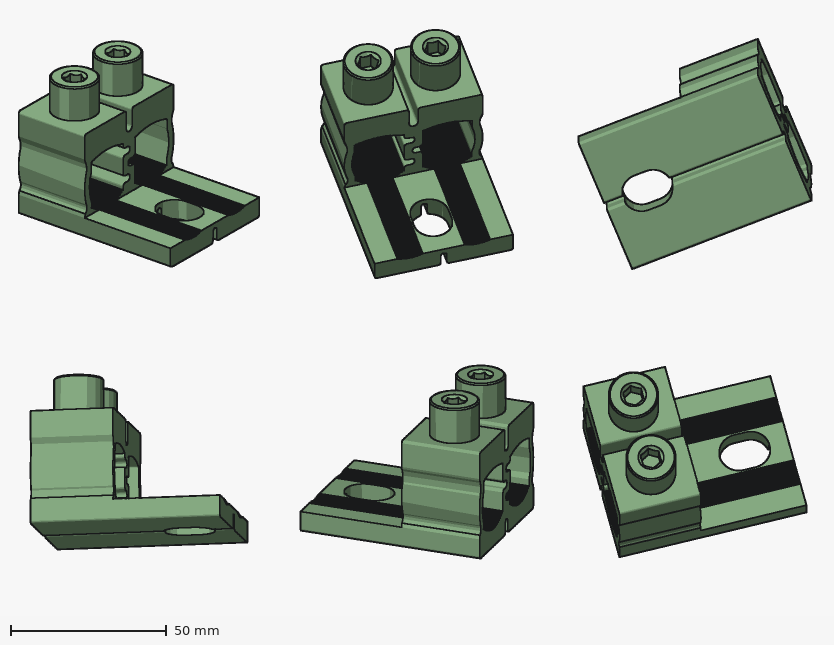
import cadquery as cq
import math

BODY_LENGTH = 62.0
BODY_WIDTH = 46.3
BLOCK_LENGTH = 27.0
BLOCK_HEIGHT = 37.0
PLATE_THICKNESS = 7.0
EDGE_RADIUS = 1.0
HALF_WIDTH = BODY_WIDTH / 2

WAIST_TOP = (0.0, 28.0)
WAIST_TOP_EASE = (0.25, 27.2)
WAIST_UPPER_HOLLOW = (1.0, 24.6)
WAIST_CREST = (0.0, 17.2)
WAIST_LOWER_HOLLOW = (1.17, 10.2)
WAIST_BOTTOM_EASE = (0.4, 8.3)
WAIST_BOTTOM = (0.0, 7.0)

CREST_RADIUS = 20.5
CREST_ARC_TOP = 21.9
CREST_ARC_BOTTOM = 11.5


def crest_arc_point(height):
    rise = height - WAIST_CREST[1]
    return (CREST_RADIUS - math.sqrt(CREST_RADIUS**2 - rise**2), height)


WAIST_UPPER_INFLECTION = crest_arc_point(CREST_ARC_TOP)
WAIST_LOWER_INFLECTION = crest_arc_point(CREST_ARC_BOTTOM)

TOP_GROOVE_WIDTH = 3.0
TOP_GROOVE_BOTTOM = 29.0
BOTTOM_GROOVE_WIDTH = 2.0
BOTTOM_GROOVE_TOP = 5.1

BORE_OFFSET = 11.25
BORE_INNER_WALL = 3.1
BORE_TOP_CORNER_HEIGHT = 25.65
BORE_TOP_HEIGHT = 27.05
BORE_OUTER_TOP = 19.65
BORE_TOP_CORNER_RADIUS = 0.5
BORE_WALL_UPPER = (19.68, 22.2)
BORE_WALL_CREST = (20.55, 16.85)
BORE_WALL_LOWER = (19.45, 11.4)
BORE_OUTER_BOTTOM = 19.4

FLOOR_AXIS_HEIGHT = 18.2
TOOTH_ROOT_RADIUS = 12.0
TOOTH_DEPTH = 0.4
TOOTH_PITCH_ANGLE = 4.4
TOOTH_ROOT_ANGLE = 2.1
TOOTH_CREST_ANGLE = 1.7
TEETH_EACH_SIDE = 9

NOTCH_WIDTH = 2.5
NOTCH_OVERREACH = 0.4
NOTCH_MIDDLE_HEIGHT = 17.6
NOTCH_SPACING = 5.0
NOTCH_MOUTH_RADIUS = 1.1

SCREW_X = BLOCK_LENGTH / 2
SCREW_RADIUS = 8.0
SCREW_TOP = 49.0
SCREW_CHAMFER = 0.5
SCREW_TIP_BOTTOM = 25.95
SCREW_TIP_RADIUS = 2.2
SCREW_TIP_HEIGHT = 1.2
HEX_ACROSS_FLATS = 6.0
HEX_DEPTH = 6.0
HEX_COUNTERSINK_RADIUS = 4.1

HOLE_X = 47.5
HOLE_LENGTH = 16.5
HOLE_WIDTH = 12.5


def yz_sketch():
    """Workplane whose local axes are Y and Z and whose normal is +X."""
    return cq.Workplane("YZ")


def side_point(waist_point, side):
    depth, height = waist_point
    return (side * (HALF_WIDTH - depth), height)


def block_profile():
    """Outer section with both waisted sides and without the grooves."""

    def up(waist_point):
        return side_point(waist_point, 1)

    def down(waist_point):
        return side_point(waist_point, -1)

    return (
        yz_sketch()
        .moveTo(-HALF_WIDTH, 0)
        .lineTo(HALF_WIDTH, 0)
        .lineTo(*up(WAIST_BOTTOM))
        .lineTo(*up(WAIST_BOTTOM_EASE))
        .threePointArc(up(WAIST_LOWER_HOLLOW), up(WAIST_LOWER_INFLECTION))
        .threePointArc(up(WAIST_CREST), up(WAIST_UPPER_INFLECTION))
        .threePointArc(up(WAIST_UPPER_HOLLOW), up(WAIST_TOP_EASE))
        .lineTo(*up(WAIST_TOP))
        .lineTo(HALF_WIDTH, BLOCK_HEIGHT)
        .lineTo(-HALF_WIDTH, BLOCK_HEIGHT)
        .lineTo(*down(WAIST_TOP))
        .lineTo(*down(WAIST_TOP_EASE))
        .threePointArc(down(WAIST_UPPER_HOLLOW), down(WAIST_UPPER_INFLECTION))
        .threePointArc(down(WAIST_CREST), down(WAIST_LOWER_INFLECTION))
        .threePointArc(down(WAIST_LOWER_HOLLOW), down(WAIST_BOTTOM_EASE))
        .lineTo(*down(WAIST_BOTTOM))
        .close()
    )


def groove(width, closed_end, open_end):
    """Full-length groove on the centre plane with a round closed end."""
    radius = width / 2
    direction = math.copysign(1, closed_end - open_end)
    straight_end = closed_end - direction * radius
    return (
        yz_sketch()
        .moveTo(-radius, open_end)
        .lineTo(-radius, straight_end)
        .threePointArc((0, closed_end), (radius, straight_end))
        .lineTo(radius, open_end)
        .close()
        .extrude(BODY_LENGTH)
    )


def long_edges_at(body, height):
    """Edges along X that lie at the given height."""
    margin = 0.01
    box = cq.selectors.BoxSelector(
        (-margin, -BODY_WIDTH, height - margin),
        (BODY_LENGTH + margin, BODY_WIDTH, height + margin),
    )
    return body.edges("|X").edges(box)


def make_body():
    body = block_profile().extrude(BODY_LENGTH)
    body = body.cut(groove(TOP_GROOVE_WIDTH, TOP_GROOVE_BOTTOM, BLOCK_HEIGHT))
    body = body.cut(groove(BOTTOM_GROOVE_WIDTH, BOTTOM_GROOVE_TOP, 0))
    for height in (0, BLOCK_HEIGHT):
        body = long_edges_at(body, height).fillet(EDGE_RADIUS)
    return body


def floor_points():
    """Corners of the toothed bore floor, from the root beside the inner wall to the outer one."""
    crest_radius = TOOTH_ROOT_RADIUS - TOOTH_DEPTH
    half_root = TOOTH_ROOT_ANGLE / 2
    half_crest = TOOTH_CREST_ANGLE / 2
    corners = []
    for tooth in range(-TEETH_EACH_SIDE, TEETH_EACH_SIDE + 1):
        crest_angle = tooth * TOOTH_PITCH_ANGLE
        root_before = crest_angle - TOOTH_PITCH_ANGLE / 2
        root_after = crest_angle + TOOTH_PITCH_ANGLE / 2
        corners.append((TOOTH_ROOT_RADIUS, root_before + half_root))
        corners.append((crest_radius, crest_angle - half_crest))
        corners.append((crest_radius, crest_angle + half_crest))
        corners.append((TOOTH_ROOT_RADIUS, root_after - half_root))
    return [floor_point(radius, math.radians(angle)) for radius, angle in corners]


def floor_point(radius, angle):
    y = BORE_OFFSET + radius * math.sin(angle)
    z = FLOOR_AXIS_HEIGHT - radius * math.cos(angle)
    return (y, z)


def bore(notch_heights):
    """Bore on the +Y side, with notches reaching through its inner wall."""
    floor = floor_points()
    profile = yz_sketch().moveTo(BORE_INNER_WALL, floor[0][1])
    for point in floor:
        profile = profile.lineTo(*point)
    void = (
        profile.lineTo(BORE_OUTER_BOTTOM, floor[-1][1])
        .lineTo(*BORE_WALL_LOWER)
        .threePointArc(BORE_WALL_CREST, BORE_WALL_UPPER)
        .lineTo(BORE_OUTER_TOP, BORE_TOP_CORNER_HEIGHT)
        .threePointArc((BORE_OFFSET, BORE_TOP_HEIGHT), (BORE_INNER_WALL, BORE_TOP_CORNER_HEIGHT))
        .close()
        .extrude(BODY_LENGTH)
    )
    outer_top_corner = cq.selectors.NearestToPointSelector(
        (BODY_LENGTH / 2, BORE_OUTER_TOP, BORE_TOP_CORNER_HEIGHT)
    )
    void = void.edges("|X").edges(outer_top_corner).fillet(BORE_TOP_CORNER_RADIUS)
    for height in notch_heights:
        void = void.union(notch(height))
    return void


def notch(height):
    """Round-ended notch at the bore's inner wall, with a flared mouth."""
    half = NOTCH_WIDTH / 2
    mouth_half = half + NOTCH_MOUTH_RADIUS
    mouth_end = BORE_INNER_WALL + NOTCH_MOUTH_RADIUS
    tip_centre = half - NOTCH_OVERREACH
    arc_mid = NOTCH_MOUTH_RADIUS * (1 - math.sqrt(0.5))
    flare_start = BORE_INNER_WALL - NOTCH_MOUTH_RADIUS
    return (
        yz_sketch()
        .moveTo(tip_centre, height - half)
        .lineTo(flare_start, height - half)
        .threePointArc(
            (BORE_INNER_WALL - arc_mid, height - half - arc_mid),
            (BORE_INNER_WALL, height - mouth_half),
        )
        .lineTo(mouth_end, height - mouth_half)
        .lineTo(mouth_end, height + mouth_half)
        .lineTo(BORE_INNER_WALL, height + mouth_half)
        .threePointArc(
            (BORE_INNER_WALL - arc_mid, height + half + arc_mid),
            (flare_start, height + half),
        )
        .lineTo(tip_centre, height + half)
        .threePointArc((-NOTCH_OVERREACH, height), (tip_centre, height - half))
        .close()
        .extrude(BODY_LENGTH)
    )


def space_above_plate():
    """Everything of the body that is removed to leave the mounting plate."""
    length = BODY_LENGTH - BLOCK_LENGTH
    height = BLOCK_HEIGHT - PLATE_THICKNESS
    block = cq.Workplane("XY").box(length, BODY_WIDTH, height, centered=(False, True, False))
    return block.translate((BLOCK_LENGTH, 0, PLATE_THICKNESS))


def mounting_hole():
    return (
        cq.Workplane("XY")
        .center(HOLE_X, 0)
        .slot2D(HOLE_LENGTH, HOLE_WIDTH)
        .extrude(PLATE_THICKNESS)
    )


def screw(y):
    """Head of a clamping screw with its hexagon socket."""
    centre = cq.Workplane("XY").center(SCREW_X, y)
    head = (
        centre.workplane(offset=BLOCK_HEIGHT)
        .circle(SCREW_RADIUS)
        .extrude(SCREW_TOP - BLOCK_HEIGHT)
        .faces(">Z")
        .chamfer(SCREW_CHAMFER)
    )
    socket = (
        centre.workplane(offset=SCREW_TOP - HEX_DEPTH)
        .polygon(6, HEX_ACROSS_FLATS, circumscribed=True)
        .extrude(HEX_DEPTH)
    )
    countersink = cq.Workplane(
        cq.Solid.makeCone(
            HEX_COUNTERSINK_RADIUS,
            0,
            HEX_COUNTERSINK_RADIUS,
            cq.Vector(SCREW_X, y, SCREW_TOP),
            cq.Vector(0, 0, -1),
        )
    )
    return head.cut(socket).cut(countersink)


def screw_tip(y):
    """Conical end of a clamping screw, hanging from the roof of a bore."""
    return cq.Workplane(
        cq.Solid.makeCone(
            SCREW_TIP_RADIUS,
            SCREW_TIP_RADIUS + SCREW_TIP_HEIGHT,
            SCREW_TIP_HEIGHT,
            cq.Vector(SCREW_X, y, SCREW_TIP_BOTTOM),
            cq.Vector(0, 0, 1),
        )
    )


upper_y_notches = [NOTCH_MIDDLE_HEIGHT]
lower_y_notches = [NOTCH_MIDDLE_HEIGHT - NOTCH_SPACING, NOTCH_MIDDLE_HEIGHT + NOTCH_SPACING]

result = make_body()
result = result.cut(bore(upper_y_notches))
result = result.cut(bore(lower_y_notches).mirror("XZ"))
result = result.cut(space_above_plate())
result = result.cut(mounting_hole())
for screw_y in (-BORE_OFFSET, BORE_OFFSET):
    result = result.union(screw(screw_y))
    result = result.union(screw_tip(screw_y))